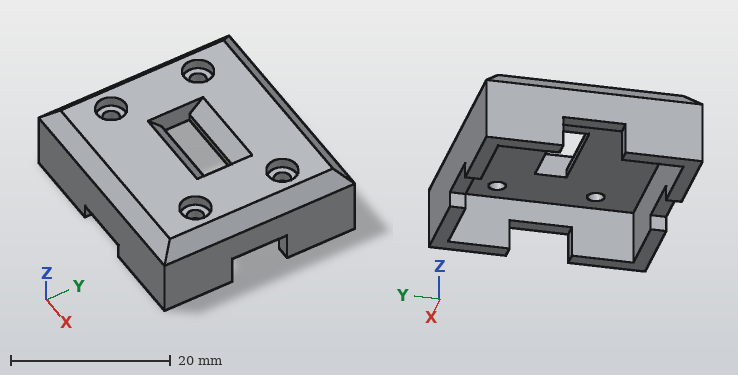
import cadquery as cq

length = 30.4
width = 27.85
height = 10.03
edge_chamfer = 2.0

wall = 2.0
top_thickness = 3.0
cavity_height = height - top_thickness

notch_width = 8.03
end_notch_height = 4.0
side_notch_height = 2.0

window_length = 11.9
window_width = 8.05
window_offset = 0.5
window_slope = 2.0
window_slope_depth = 2.0

hole_spacing_x = 20.35
hole_spacing_y = 12.7
hole_diameter = 2.2
counterbore_diameter = 4.0
counterbore_depth = 1.5


def block(size_x, size_y, size_z):
    """Box centred on X and Y, standing on Z = 0."""
    return cq.Workplane("XY").box(size_x, size_y, size_z, centered=(True, True, False))


def hollow_body():
    body = block(length, width, height).faces(">Z").edges().chamfer(edge_chamfer)
    return body.cut(block(length - 2 * wall, width - 2 * wall, cavity_height))


def notches():
    along_x = block(length, notch_width, end_notch_height)
    along_y = block(notch_width, width, side_notch_height)
    return along_x.union(along_y)


def window():
    """Window profile in the YZ plane, swept along X."""
    top_half = window_width / 2
    throat_half = top_half - window_slope
    slope_bottom = height - window_slope_depth
    profile = [
        (window_offset - top_half, height),
        (window_offset - throat_half, slope_bottom),
        (window_offset - throat_half, cavity_height),
        (window_offset + throat_half, cavity_height),
        (window_offset + throat_half, slope_bottom),
        (window_offset + top_half, height),
    ]
    return cq.Workplane("YZ").polyline(profile).close().extrude(window_length / 2, both=True)


def add_screw_holes(body):
    return (
        body.faces(">Z")
        .workplane(origin=(0, 0, height))
        .rarray(hole_spacing_x, hole_spacing_y, 2, 2)
        .cboreHole(hole_diameter, counterbore_diameter, counterbore_depth)
    )


result = add_screw_holes(hollow_body().cut(notches()).cut(window()))